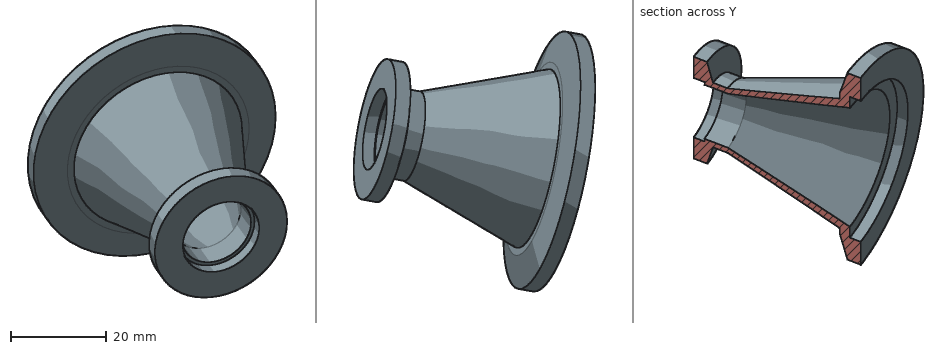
import cadquery as cq

length = 39.9

rim_width = 3.25
recess_depth = 2.6

large_flange_diameter = 54.9
large_flange_width = 5.1
large_flange_back_diameter = 41.2
large_recess_diameter = 41.2

small_flange_diameter = 30.0
small_flange_width = 4.65
small_recess_diameter = 17.3

cone_large_diameter = 38.1
neck_diameter = 19.1
bore_large_diameter = 34.75
bore_small_diameter = 15.7
cone_end = 31.75


def revolve_profile(points):
    """Revolve (axial position, diameter) points about the X axis."""
    outline = [(x, diameter / 2) for x, diameter in points]
    return cq.Workplane("XY").polyline(outline).close().revolve(360, (0, 0), (1, 0))


outside = revolve_profile([
    (0, 0),
    (0, large_flange_diameter),
    (rim_width, large_flange_diameter),
    (large_flange_width, large_flange_back_diameter),
    (large_flange_width, cone_large_diameter),
    (cone_end, neck_diameter),
    (length - small_flange_width, neck_diameter),
    (length - rim_width, small_flange_diameter),
    (length, small_flange_diameter),
    (length, 0),
])

passage = revolve_profile([
    (0, 0),
    (0, large_recess_diameter),
    (recess_depth, large_recess_diameter),
    (recess_depth, bore_large_diameter),
    (cone_end, bore_small_diameter),
    (length - recess_depth, bore_small_diameter),
    (length - recess_depth, small_recess_diameter),
    (length, small_recess_diameter),
    (length, 0),
])

result = outside.cut(passage)